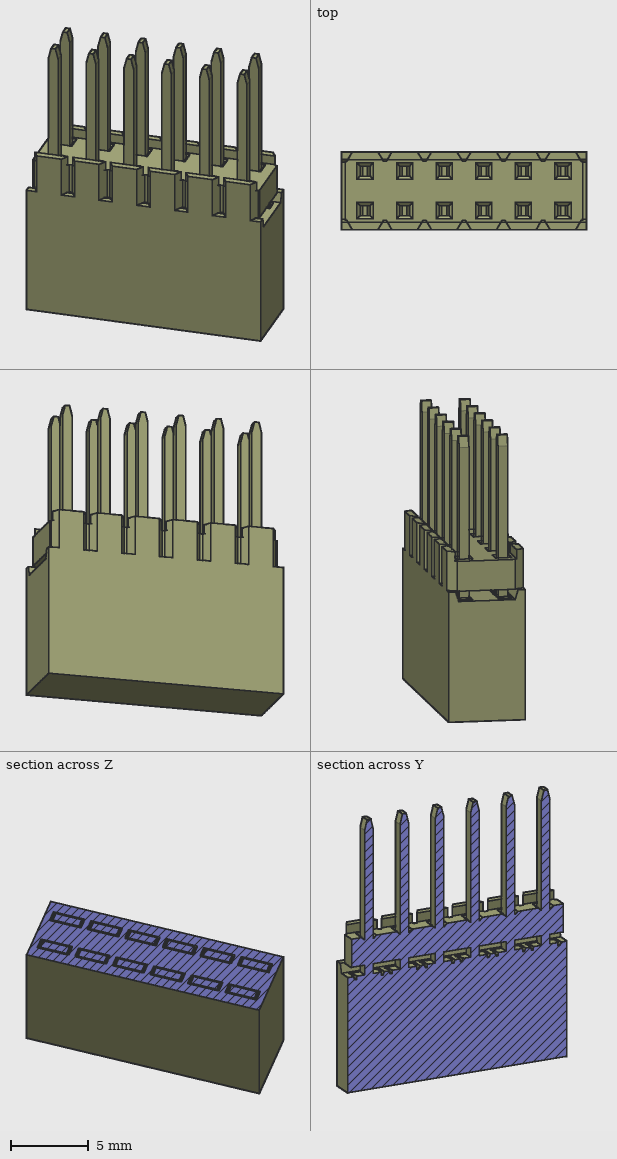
import cadquery as cq

PITCH = 2.54
COLUMNS = 6
ROWS = 2

HOUSING_LENGTH = 15.75
HOUSING_WIDTH = 5.0
HOUSING_HEIGHT = 8.5

CHANNEL_DEPTH = 0.63
CHANNEL_TOP_WIDTH = 4.05
CHANNEL_FLOOR_WIDTH = 3.68

SOCKET_LENGTH = 2.17
SOCKET_WIDTH = 0.83
SOCKET_TAPER = 0.083
SOCKET_DEPTH = 0.22
CONTACT_LENGTH = 1.8

STRIP_LENGTH = COLUMNS * PITCH
STRIP_FLOOR_Z = 10.45
STRIP_TOP_Z = 11.05
STRIP_WALL = 0.5

NOTCH_MOUTH = 0.9
NOTCH_BOTTOM = 0.18
NOTCH_DEPTH = 0.6

PIN_SIDE = 0.65
PIN_TOP_Z = 18.39
TIP_HEIGHT = 0.68
TIP_THICKNESS = 0.3

LEAD_IN_SIDE = 1.05
LEAD_IN_DEPTH = 0.2

CHANNEL_FLOOR_Z = HOUSING_HEIGHT - CHANNEL_DEPTH


def box_between(length, width, bottom, top):
    """Box centred on the Z axis, spanning two heights."""
    return cq.Workplane("XY", origin=(0, 0, bottom)).rect(length, width).extrude(top - bottom)


def at_every_pin(shape):
    """Copies of a shape at all pin positions."""
    grid = cq.Workplane("XY").rarray(PITCH, PITCH, COLUMNS, ROWS)
    return grid.eachpoint(lambda location: shape.val().moved(location))


def funnel(top_z, depth, top_size, bottom_size):
    """Rectangular frustum narrowing downward from a surface."""
    return (
        cq.Workplane("XY", origin=(0, 0, top_z))
        .rect(*top_size)
        .workplane(offset=-depth)
        .rect(*bottom_size)
        .loft(ruled=True)
    )


def housing():
    """Block with a sloped-sided channel along its top."""
    block = box_between(HOUSING_LENGTH, HOUSING_WIDTH, 0, HOUSING_HEIGHT)
    channel = (
        cq.Workplane("YZ")
        .polyline([
            (-CHANNEL_TOP_WIDTH / 2, HOUSING_HEIGHT),
            (-CHANNEL_FLOOR_WIDTH / 2, CHANNEL_FLOOR_Z),
            (CHANNEL_FLOOR_WIDTH / 2, CHANNEL_FLOOR_Z),
            (CHANNEL_TOP_WIDTH / 2, HOUSING_HEIGHT),
        ])
        .close()
        .extrude(HOUSING_LENGTH / 2, both=True)
    )
    return block.cut(channel)


def sockets():
    """Cutters for the shallow tapered pockets in the channel floor."""
    top_size = (SOCKET_LENGTH, SOCKET_WIDTH)
    bottom_size = (SOCKET_LENGTH - 2 * SOCKET_TAPER, SOCKET_WIDTH - 2 * SOCKET_TAPER)
    return at_every_pin(funnel(CHANNEL_FLOOR_Z, SOCKET_DEPTH, top_size, bottom_size))


def contacts():
    """Blades filling the middle of each socket, flush with the channel floor."""
    blade = box_between(CONTACT_LENGTH, PIN_SIDE, CHANNEL_FLOOR_Z - SOCKET_DEPTH, CHANNEL_FLOOR_Z)
    return at_every_pin(blade)


def notches():
    """Cutters for the notches midway between pins and at the strip ends."""
    front = -HOUSING_WIDTH / 2
    one_notch = (
        cq.Workplane("XY", origin=(0, 0, HOUSING_HEIGHT))
        .polyline([
            (-NOTCH_MOUTH / 2, front),
            (-NOTCH_BOTTOM / 2, front + NOTCH_DEPTH),
            (NOTCH_BOTTOM / 2, front + NOTCH_DEPTH),
            (NOTCH_MOUTH / 2, front),
        ])
        .close()
        .extrude(STRIP_TOP_Z - HOUSING_HEIGHT)
    )
    pair = one_notch.union(one_notch.mirror("XZ"))
    cutters = cq.Workplane("XY")
    for index in range(COLUMNS + 1):
        cutters = cutters.add(pair.translate((index * PITCH - STRIP_LENGTH / 2, 0, 0)))
    return cutters.combine()


def strip():
    """Strip with raised long walls, notched sides and a lead-in at every pin."""
    block = box_between(STRIP_LENGTH, HOUSING_WIDTH, HOUSING_HEIGHT, STRIP_TOP_Z)
    trough_width = HOUSING_WIDTH - 2 * STRIP_WALL
    trough = box_between(STRIP_LENGTH, trough_width, STRIP_FLOOR_Z, STRIP_TOP_Z)
    mouth = (LEAD_IN_SIDE, LEAD_IN_SIDE)
    lead_ins = at_every_pin(funnel(STRIP_FLOOR_Z, LEAD_IN_DEPTH, mouth, (PIN_SIDE, PIN_SIDE)))
    return block.cut(trough).cut(notches()).cut(lead_ins)


def pins():
    """Pins rising from the bottom of the sockets, each tip narrowing along X."""
    root_z = CHANNEL_FLOOR_Z - SOCKET_DEPTH
    shoulder_z = PIN_TOP_Z - TIP_HEIGHT
    pin = (
        cq.Workplane("XZ")
        .polyline([
            (-PIN_SIDE / 2, root_z),
            (PIN_SIDE / 2, root_z),
            (PIN_SIDE / 2, shoulder_z),
            (TIP_THICKNESS / 2, PIN_TOP_Z),
            (-TIP_THICKNESS / 2, PIN_TOP_Z),
            (-PIN_SIDE / 2, shoulder_z),
        ])
        .close()
        .extrude(PIN_SIDE / 2, both=True)
    )
    return at_every_pin(pin)


result = housing().cut(sockets()).union(contacts()).union(strip()).union(pins())